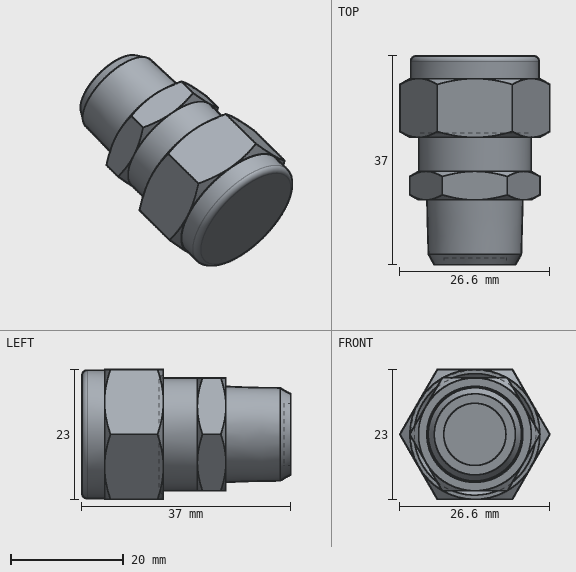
import cadquery as cq
import math

total_length = 37.0
lead_chamfer_length = 1.92
thread_end = 11.5
body_hex_end = 16.55
nut_start = 22.57
nut_end = 32.95

tip_radius = 7.18
thread_front_radius = 8.25
thread_back_radius = 8.5
body_hex_flats = 19.98
neck_radius = body_hex_flats / 2
nut_flats = 23.0
collar_radius = 11.4
collar_fillet = 1.0
recess_radius = 5.5
recess_depth = 1.25
nut_mouth_radius = 10.75
nut_mouth_depth = nut_mouth_radius - neck_radius
corner_chamfer_angle = 30.0
hex_sides = 6


def revolve_profile(points):
    """Turn (radius, Y) points around the Y axis."""
    return cq.Workplane("XY").polyline(points).close().revolve(360, (0, 0, 0), (0, 1, 0))


def cylinder(radius, start, end):
    return revolve_profile([(0, start), (radius, start), (radius, end), (0, end)])


def chamfered_hex(flats, start, end):
    """Hexagon with corners on X, its corners turned off conically at both ends."""
    flat_radius = flats / 2
    corner_radius = flat_radius / math.cos(math.pi / hex_sides)
    chamfer = (corner_radius - flat_radius) * math.tan(math.radians(corner_chamfer_angle))
    prism = (
        cq.Workplane("XZ", origin=(0, start, 0))
        .polygon(hex_sides, 2 * corner_radius)
        .extrude(start - end)
    )
    envelope = revolve_profile([
        (0, start),
        (flat_radius, start),
        (corner_radius, start + chamfer),
        (corner_radius, end - chamfer),
        (flat_radius, end),
        (0, end),
    ])
    return prism.intersect(envelope)


thread = revolve_profile([
    (0, 0),
    (tip_radius, 0),
    (thread_front_radius, lead_chamfer_length),
    (thread_back_radius, thread_end),
    (0, thread_end),
])

body_hex = chamfered_hex(body_hex_flats, thread_end, body_hex_end)
neck = cylinder(neck_radius, body_hex_end, nut_start)
nut = chamfered_hex(nut_flats, nut_start, nut_end)

nut_mouth = revolve_profile([
    (neck_radius, nut_start),
    (nut_mouth_radius, nut_start),
    (neck_radius, nut_start + nut_mouth_depth),
])
nut = nut.cut(nut_mouth)

collar = cylinder(collar_radius, nut_end, total_length).faces(">Y").edges().fillet(collar_fillet)

recess = cylinder(recess_radius, 0, recess_depth)

result = thread.union(body_hex).union(neck).union(nut).union(collar).cut(recess)